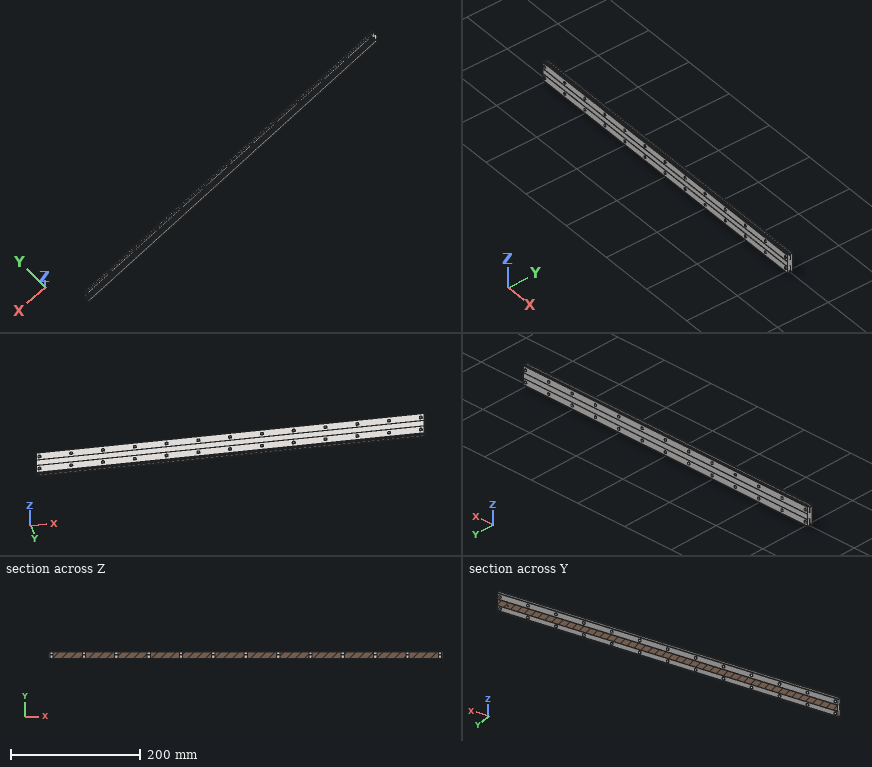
import cadquery as cq

length = 610.0
thickness = 11.0
height = 37.0
front_chamfer = 0.8
back_chamfer = 1.0

groove_front_wall = -2.0
groove_back_wall = 3.0
groove_floor_depth = 2.9
groove_front_taper = 0.3
groove_floor_width = 1.1
ledge_depth = 1.1
ledge_fillet = 0.8

slit_centre = 0.6
slit_width = 0.2
slit_floor = 6.0

strip_height = 10.0
strip_recess = 0.3

hole_diameter = 4.5
hole_pitch = 50.0
hole_columns = 13
hole_height = 11.0


def groove_cutter():
    """Groove in the upper edge: tapered front wall, flat floor, 45 degree slope, filleted ledge."""
    top = height / 2
    floor = top - groove_floor_depth
    ledge = top - ledge_depth
    floor_start = groove_front_wall + groove_front_taper
    slope_start = floor_start + groove_floor_width
    slope_end = slope_start + groove_floor_depth - ledge_depth
    outline = (
        cq.Workplane("YZ")
        .moveTo(groove_front_wall, top)
        .lineTo(floor_start, floor)
        .lineTo(slope_start, floor)
        .lineTo(slope_end, ledge)
        .lineTo(groove_back_wall - ledge_fillet, ledge)
        .radiusArc((groove_back_wall, ledge + ledge_fillet), -ledge_fillet)
        .lineTo(groove_back_wall, top)
        .close()
    )
    return outline.extrude(length / 2, both=True)


def slit_cutter():
    slit_height = height / 2 - slit_floor
    middle = slit_floor + slit_height / 2
    return cq.Workplane("XY").box(length, slit_width, slit_height).translate((0, slit_centre, middle))


def strip_cutter():
    """Both shallow strips, as the bar's middle band less its core."""
    band = cq.Workplane("XY").box(length, thickness, strip_height)
    core = cq.Workplane("XY").box(length, thickness - 2 * strip_recess, strip_height)
    return band.cut(core)


def hole_cutter():
    centres = cq.Workplane("XZ").rarray(hole_pitch, 2 * hole_height, hole_columns, 2)
    return centres.circle(hole_diameter / 2).extrude(thickness, both=True)


def make_bar():
    bar = cq.Workplane("XY").box(length, thickness, height)
    bar = bar.faces("<Y").edges("|X").chamfer(front_chamfer)
    bar = bar.faces(">Y").edges("|X").chamfer(back_chamfer)
    for edge_cutter in (groove_cutter(), slit_cutter()):
        bar = bar.cut(edge_cutter).cut(edge_cutter.mirror("XY"))
    return bar.cut(strip_cutter()).cut(hole_cutter())


result = make_bar()